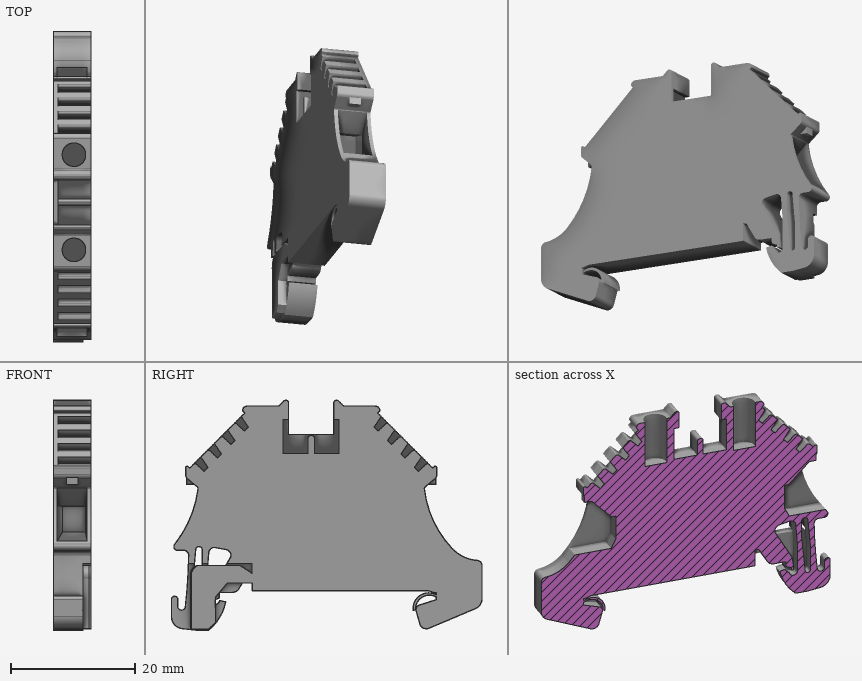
import cadquery as cq
import math


thickness = 6.1
axis_y = -2.5
end_y = 25.0
top_z = 30.68
bottom_z = -6.33
side_wall = 0.72

slot_half = 3.62
slot_floor_z = 25.2
ridge_half = 4.3
shoulder_half = 5.2
shoulder_z = 29.75
lobe_half = 11.05
lobe_z = 28.95
slope_top_half = 10.7
slope_top_z = 28.6
slope_bottom_half = 19.53
slope_bottom_z = slope_top_z - (slope_bottom_half - slope_top_half)
lip_half = 20.22
lip_width = 0.35
lip_height = 0.3
lip_top_z = slope_bottom_z + lip_height
lip_bottom_z = 18.34
flank_half = 18.2
flank_top_z = 16.6
flank_mid_half, flank_mid_z = 20.1, 10.4
ridge_round = 0.42
lobe_round = 0.75
lip_top_round = 0.3
lip_bottom_round = 0.8
inner_round = 0.3

recess_half = 4.5
recess_top_z = 27.6
recess_floor_z = 22.1
rib_width = 1.1
rib_top_z = 25.0
rib_round = 0.5

screw_x = 3.32
screw_half = 7.65
screw_diameter = 3.8
screw_depth = 8.0

groove_count = 4
groove_width = 1.68
groove_depth = 2.0
groove_floor_width = 0.9
groove_rim_round = 0.35
groove_rim_run = 0.6
groove_pitch = 3.06
first_groove_z = 27.45

entry_x = (0.6, 5.45)
entry_z = (8.0, 17.0)
entry_back_half = 15.4
entry_roof_half = 18.7
entry_end_x = (1.5, 5.15)
entry_end_z = (9.5, 13.6)
entry_end_taper = 0.8
entry_end_half = entry_back_half - entry_end_taper
tab_x = (2.1, 4.0)
tab_half = 20.05
tab_bottom_z = 17.13
tab_overlap = 0.5

foot_thickness = 4.75
foot_top_z = 4.4
foot_round = 2.0
notch_y = -12.0
notch_top_z = 2.87
notch_round = 0.15
plate_top_z = 4.1
plate_bottom_z = -6.1
plate_notch_z = 1.25
plate_inner_y = -17.9
plate_outer_y = -21.9
plate_round_width = 1.0
plate_round_height = 2.0
skin_x = 5.75
skin_setback = 0.15

hook_end_round = 1.1
hook_corner_round = 1.8
hook_tip_round = 0.8
hook_top_round = 0.9

strip_x = 0.7
strip_thickness = 0.4


def half(distance, side):
    """Y at the given distance from the mirror plane; side is +1 or -1."""
    return axis_y + side * distance


def extrude_outline(outline, x_from, x_to):
    return outline.close().extrude(x_to - x_from)


def outline_at(x):
    return cq.Workplane("YZ", origin=(x, 0, 0))


def box(x_range, y_range, z_range):
    size = [abs(r[1] - r[0]) for r in (x_range, y_range, z_range)]
    corner = [min(r) for r in (x_range, y_range, z_range)]
    return cq.Workplane("XY").box(*size, centered=False).translate(tuple(corner))


def round_corners(solid, corners, radius):
    """Round the X-parallel edges of a full-thickness solid at the given (y, z) corners."""
    for y, z in corners:
        nearest = cq.selectors.NearestToPointSelector((thickness / 2, y, z))
        solid = solid.edges("|X").edges(nearest).fillet(radius)
    return solid


def upper_outline(side):
    """Corner points from the marker slot floor out to the top of the flank."""
    points = [
        (slot_half, slot_floor_z),
        (slot_half, top_z),
        (ridge_half, top_z),
        (shoulder_half, shoulder_z),
        (lobe_half, shoulder_z),
        (lobe_half, lobe_z),
        (slope_top_half, slope_top_z),
        (slope_bottom_half, slope_bottom_z),
        (lip_half - lip_width, lip_top_z),
        (lip_half, lip_top_z),
        (lip_half, lip_bottom_z),
        (flank_half, flank_top_z),
    ]
    return [(half(d, side), z) for d, z in points]


def make_housing():
    """Full-thickness housing with the fixed hook (+Y) and the latch foot (-Y) in one outline."""
    right = upper_outline(-1)
    left = upper_outline(1)
    hook_root = (17.58, -1.4)
    hook_tip = (14.15, -2.5)
    hook_end = (15.3, -6.5)
    hook_corner = (end_y, -2.4)
    hook_top = (end_y, 4.9)
    foot_corner = (-end_y, -5.9)
    notch_corner = (notch_y, 0)
    outline = (
        outline_at(0)
        .polyline(left[::-1] + right)
        .threePointArc((half(flank_mid_half, -1), flank_mid_z), (-24.45, 7.55))
        .threePointArc((-24.57, 6.95), (-24.02, 6.51))
        .lineTo(-22.9, 6.51)
        .threePointArc((-22.42, 6.28), (-22.23, 5.76))
        .threePointArc((-22.38, 1.9), (-22.77, -2.6))
        .threePointArc((-23.35, -3.07), (-23.94, -2.6))
        .lineTo(-23.94, -1.35)
        .threePointArc((-24.47, -0.84), (-end_y, -1.35))
        .lineTo(*foot_corner)
        .lineTo(-21.0, bottom_z)
        .lineTo(-18.99, bottom_z)
        .threePointArc((-17.4, -4.55), (-16.22, -1.75))
        .lineTo(-17.25, -1.52)
        .lineTo(-17.31, -1.79)
        .lineTo(-17.9, -2.3)
        .threePointArc((-18.74, -2.88), (-19.27, -2.4))
        .lineTo(-19.24, 2.74)
        .lineTo(-18.97, 6.1)
        .threePointArc((-18.65, 6.78), (-17.95, 6.96))
        .lineTo(-16.1, 6.62)
        .threePointArc((-15.5, 6.1), (-15.58, 5.25))
        .lineTo(-18.4, 0.39)
        .lineTo(-18.69, -1.29)
        .lineTo(-18.69, -1.99)
        .lineTo(-18.23, -1.99)
        .lineTo(-18.23, -1.54)
        .lineTo(-17.28, -1.15)
        .lineTo(-17.23, -0.26)
        .lineTo(-15.2, -0.26)
        .threePointArc((-14.6, -0.1), (-14.2, 0.2))
        .lineTo(-12.6, notch_top_z)
        .lineTo(notch_y, notch_top_z)
        .lineTo(*notch_corner)
        .lineTo(16.4, 0)
        .lineTo(17.3, -0.3)
        .lineTo(17.58, -0.3)
        .lineTo(*hook_root)
        .lineTo(*hook_tip)
        .lineTo(*hook_end)
        .lineTo(*hook_corner)
        .lineTo(*hook_top)
        .lineTo(23.9, 4.95)
        .threePointArc((22.2, 5.42), (20.27, 6.73))
        .threePointArc((half(flank_mid_half, 1), flank_mid_z), left[-1])
    )
    housing = extrude_outline(outline, 0, thickness)
    ridges = [(half(d, s), top_z) for d in (slot_half, ridge_half) for s in (1, -1)]
    shoulders = [(half(shoulder_half, s), shoulder_z) for s in (1, -1)]
    lobes = [(half(lobe_half, s), shoulder_z) for s in (1, -1)]
    lip_tops = [(half(lip_half, s), lip_top_z) for s in (1, -1)]
    lip_bottoms = [(half(lip_half, s), lip_bottom_z) for s in (1, -1)]
    flank_tops = [(half(flank_half, s), flank_top_z) for s in (1, -1)]
    housing = round_corners(housing, ridges, ridge_round)
    housing = round_corners(housing, shoulders + flank_tops, inner_round)
    housing = round_corners(housing, lobes, lobe_round)
    housing = round_corners(housing, lip_tops, lip_top_round)
    housing = round_corners(housing, lip_bottoms, lip_bottom_round)
    housing = round_corners(housing, [foot_corner], foot_round)
    housing = round_corners(housing, [hook_end], hook_end_round)
    housing = round_corners(housing, [hook_corner], hook_corner_round)
    housing = round_corners(housing, [hook_tip], hook_tip_round)
    housing = round_corners(housing, [hook_top], hook_top_round)
    return round_corners(housing, [notch_corner], notch_round)


def make_leg_slit():
    """Narrow slit that splits the latch leg in two."""
    outline = (
        outline_at(0)
        .moveTo(-20.05, 6.6)
        .lineTo(-20.03, 4.08)
        .lineTo(-20.67, -2.45)
        .threePointArc((-21.1, -2.88), (-21.54, -2.45))
        .lineTo(-21.54, 1.4)
        .lineTo(-21.06, 6.6)
        .threePointArc((-20.55, 7.12), (-20.05, 6.6))
    )
    return extrude_outline(outline, 0, thickness)


def make_backing_plate(x_from, x_to, outer_y):
    """Plate beside the foot, from the notch to the outer leg, with a rounded top outer corner."""
    part_way = 1 - math.sqrt(0.5)
    outline = (
        outline_at(x_from)
        .moveTo(notch_y, notch_top_z)
        .lineTo(notch_y, plate_notch_z)
        .lineTo(-16.0, plate_notch_z)
        .lineTo(plate_inner_y, -1.0)
        .lineTo(plate_inner_y, -5.1)
        .lineTo(-18.99, plate_bottom_z)
        .lineTo(outer_y, plate_bottom_z)
        .lineTo(outer_y, plate_top_z - plate_round_height)
        .threePointArc(
            (outer_y + part_way * plate_round_width, plate_top_z - part_way * plate_round_height),
            (outer_y + plate_round_width, plate_top_z),
        )
        .lineTo(-14.0, plate_top_z)
    )
    return extrude_outline(outline, x_from, x_to)


def make_spring_strip():
    """Thin arched strip in the mouth of the fixed hook."""
    t = strip_thickness
    outline = (
        outline_at(strip_x)
        .moveTo(17.7, -0.65)
        .threePointArc((15.1, -0.65), (13.9, -3.17))
        .lineTo(13.9 + t, -3.0)
        .threePointArc((15.3, -0.65 - t), (17.7, -0.65 - t))
    )
    return extrude_outline(outline, strip_x, thickness)


def make_marker_recess():
    """Undercut of the marker slot, open on +X, divided by a round-topped rib."""
    recess = box(
        (side_wall, thickness),
        (half(recess_half, -1), half(recess_half, 1)),
        (recess_floor_z, recess_top_z),
    )
    rib = box(
        (side_wall, thickness),
        (axis_y - rib_width / 2, axis_y + rib_width / 2),
        (recess_floor_z, rib_top_z),
    )
    rib = rib.edges("|X and >Z").fillet(rib_round)
    return recess.cut(rib)


def make_groove(index, side):
    """One tapered groove, square to the 45 degree slope and open on +X."""
    z = first_groove_z - index * groove_pitch * math.sin(math.radians(45))
    y = half(slope_top_half + slope_top_z - z, side)
    lower_rim = side * (groove_width / 2 - groove_rim_round)
    lower_end = lower_rim + side * groove_rim_run
    upper_rim = -side * groove_width / 2
    lower_foot = side * groove_floor_width / 2
    groove = extrude_outline(
        outline_at(side_wall).polyline(
            [
                (upper_rim, 0),
                (-lower_foot, -groove_depth),
                (lower_foot, -groove_depth),
                (lower_rim, 0),
                (lower_end, 0),
                (lower_end, groove_depth),
                (upper_rim, groove_depth),
            ]
        ),
        side_wall,
        thickness,
    )
    groove = round_corners(groove, [(lower_rim, 0)], groove_rim_round)
    return groove.rotate((0, 0, 0), (1, 0, 0), -45 * side).translate((0, y, z))


def make_screw_hole(side):
    return (
        cq.Workplane("XY", origin=(screw_x, half(screw_half, side), shoulder_z - screw_depth))
        .circle(screw_diameter / 2)
        .extrude(screw_depth + top_z - shoulder_z)
    )


def make_wire_entry(side):
    """Funnel: flat floor, roof sloping down at 45 degrees, tapered end."""
    floor_z, roof_z = entry_z
    back_roof_z = roof_z - (entry_roof_half - entry_back_half)
    mouth = (
        outline_at(entry_x[0])
        .moveTo(half(end_y, side), floor_z)
        .lineTo(half(entry_back_half, side), floor_z)
        .lineTo(half(entry_back_half, side), back_roof_z)
        .lineTo(half(entry_roof_half, side), roof_z)
        .lineTo(half(end_y, side), roof_z)
    )
    mouth = extrude_outline(mouth, *entry_x)

    def loop(x_range, z_range, distance):
        y = half(distance, side)
        corners = [(0, 0), (1, 0), (1, 1), (0, 1)]
        return cq.Wire.makePolygon(
            [cq.Vector(x_range[i], y, z_range[j]) for i, j in corners], close=True
        )

    wide = loop(entry_x, (floor_z, back_roof_z), entry_back_half)
    narrow = loop(entry_end_x, entry_end_z, entry_end_half)
    return mouth.union(cq.Workplane(cq.Solid.makeLoft([wide, narrow], True)))


def make_lip_tab(side):
    """Small block under the lip above the wire entry."""
    return box(
        tab_x,
        (half(tab_half, side), half(flank_half - tab_overlap, side)),
        (tab_bottom_z, lip_bottom_z + tab_overlap),
    )


body = make_housing().cut(make_leg_slit())
body = body.cut(box((foot_thickness, thickness), (-end_y, notch_y), (bottom_z, foot_top_z)))
body = body.union(make_backing_plate(foot_thickness, skin_x, plate_outer_y))
body = body.union(make_backing_plate(skin_x, thickness, plate_outer_y + skin_setback))
body = body.union(make_spring_strip())
body = body.cut(make_marker_recess())
for side in (1, -1):
    body = body.cut(make_wire_entry(side))
    body = body.union(make_lip_tab(side))
    body = body.cut(make_screw_hole(side))
    for index in range(groove_count):
        body = body.cut(make_groove(index, side))

result = body